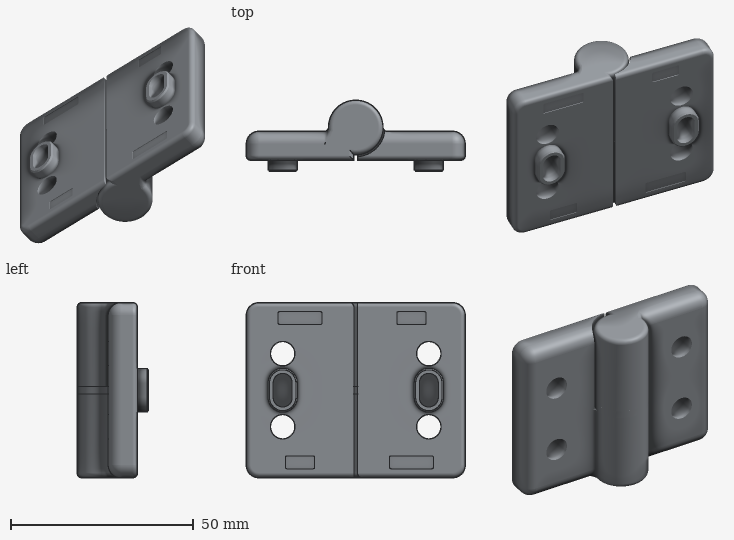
import cadquery as cq
import math


hinge_length = 60.0
hinge_height = 48.0
half_length = hinge_length / 2
half_height = hinge_height / 2

plate_thickness = 8.0
mount_face_y = -9.0
plate_top_y = mount_face_y + plate_thickness
leaf_gap = 1.0
inner_edge_x = -leaf_gap / 2
plate_length = half_length - leaf_gap / 2
plate_middle_x = inner_edge_x - plate_length / 2
corner_radius = 3.5
top_fillet = 3.5

knuckle_diameter = 15.0
knuckle_radius = knuckle_diameter / 2
knuckle_end_diameter = 12.4
rim_fillet = (knuckle_diameter - knuckle_end_diameter) / 2
root_fillet = 1.0
clearance_radius = 8.0
washer_thickness = 2.1
washer_top_z = washer_thickness / 2
knuckle_height = half_height - washer_top_z

mount_x = -20.0
hole_diameter = 6.6
hole_spacing = 20.0
boss_width = 8.0
boss_length = 12.0
boss_height = 3.0
boss_chamfer = 0.4
boss_end_y = mount_face_y - boss_height
slot_width = 5.2
slot_length = boss_length - boss_width + slot_width
slot_depth = 9.0

marking_z = 19.75
marking_height = 3.5
upper_marking_width = 12.0
lower_marking_width = 8.0
marking_corner = 0.4
marking_depth = 0.2


def work_face(y):
    """Workplane at depth y with local axes X and Z, extruding toward -Y."""
    return cq.Workplane("XZ", origin=(0, y, 0))


def make_plate():
    """Leaf plate with rounded outer corners and a rounded top edge."""
    plate = (
        work_face(plate_top_y)
        .center(plate_middle_x, 0)
        .rect(plate_length, hinge_height)
        .extrude(plate_thickness)
        .edges("|Y and <X")
        .fillet(corner_radius)
    )
    return plate.faces(">Y").edges("not >X").fillet(top_fillet)


def make_knuckle():
    """Upper-half knuckle with a foot whose flank runs straight down to the plate."""
    base = cq.Workplane("XY", origin=(0, 0, washer_top_z))
    barrel = base.circle(knuckle_radius).extrude(knuckle_height)
    foot = (
        base.moveTo(-knuckle_radius, mount_face_y)
        .lineTo(inner_edge_x, mount_face_y)
        .lineTo(inner_edge_x, 0)
        .lineTo(-knuckle_radius, 0)
        .close()
        .extrude(knuckle_height)
    )
    return barrel.union(foot)


def root_section(z):
    """Concave corner section between plate and knuckle, reaching into both."""
    round_center_y = plate_top_y - top_fillet
    toe_x = -knuckle_radius - root_fillet
    crest_y = plate_top_y + root_fillet
    arc_reach = root_fillet * math.sqrt(0.5)
    inside_x = -knuckle_radius + root_fillet
    return (
        cq.Workplane("XY", origin=(0, round_center_y, z))
        .moveTo(toe_x, plate_top_y - round_center_y)
        .threePointArc(
            (toe_x + arc_reach, crest_y - arc_reach - round_center_y),
            (-knuckle_radius, crest_y - round_center_y),
        )
        .lineTo(inside_x, crest_y - round_center_y)
        .lineTo(inside_x, 0)
        .lineTo(toe_x, 0)
        .close()
    )


def make_root_web():
    """Concave fillet beside the knuckle, bending over the rounded top of the plate."""
    bend_z = half_height - top_fillet
    straight = root_section(washer_top_z).extrude(bend_z - washer_top_z)
    bend = root_section(bend_z).revolve(90, (0, 0, 0), (1, 0, 0))
    leaf_height = cq.Workplane("XY").box(hinge_length, hinge_length, hinge_height)
    return straight.union(bend).intersect(leaf_height)


def round_rims(body):
    """Round the bottom edge of the plate and the rim of the knuckle end."""
    above_plate = cq.selectors.BoxSelector(
        (-knuckle_radius - root_fillet, plate_top_y - top_fillet, washer_top_z),
        (knuckle_radius, knuckle_radius, hinge_height),
        boundingbox=False,
    )
    end_face = body.faces(">Z")
    knuckle_rim = end_face.edges(above_plate)
    inner_rim = end_face.edges("|Y").edges(">X")
    bottom_rim = body.faces("<Y").edges("not >X")
    return bottom_rim.add(knuckle_rim).add(inner_rim).fillet(rim_fillet)


def make_clearance():
    """Space for the washer and for the knuckle of the opposite leaf."""
    return (
        cq.Workplane("XY", origin=(0, 0, -half_height))
        .circle(clearance_radius)
        .extrude(half_height + washer_top_z)
    )


def make_boss():
    """Oblong locating boss on the mounting face."""
    return (
        work_face(mount_face_y)
        .center(mount_x, 0)
        .slot2D(boss_length, boss_width, 90)
        .extrude(boss_height)
        .faces("<Y")
        .chamfer(boss_chamfer)
    )


def make_slot():
    """Blind oblong recess through the boss into the plate."""
    return (
        work_face(boss_end_y + slot_depth)
        .center(mount_x, 0)
        .slot2D(slot_length, slot_width, 90)
        .extrude(slot_depth)
    )


def make_screw_holes():
    """Two through holes, above and below the boss."""
    return (
        work_face(plate_top_y)
        .center(mount_x, 0)
        .rarray(1, hole_spacing, 1, 2)
        .circle(hole_diameter / 2)
        .extrude(plate_thickness)
    )


def make_marking(z, width):
    """Shallow rounded rectangle sunk into the mounting face."""
    return (
        work_face(mount_face_y + marking_depth)
        .center(plate_middle_x, z)
        .rect(width, marking_height)
        .extrude(marking_depth)
        .edges("|Y")
        .fillet(marking_corner)
    )


def make_leaf():
    """Left leaf: plate with its knuckle at the upper end of the hinge."""
    blank = make_plate().union(make_knuckle()).union(make_root_web())
    return (
        round_rims(blank)
        .cut(make_clearance())
        .union(make_boss())
        .cut(make_slot())
        .cut(make_screw_holes())
        .cut(make_marking(marking_z, upper_marking_width))
        .cut(make_marking(-marking_z, lower_marking_width))
    )


def make_washer():
    """Disc between the two knuckles."""
    return (
        cq.Workplane("XY", origin=(0, 0, -washer_top_z))
        .circle(knuckle_radius)
        .extrude(washer_thickness)
    )


left_leaf = make_leaf()
right_leaf = left_leaf.rotate((0, 0, 0), (0, 1, 0), 180)
washer = make_washer()

result = cq.Compound.makeCompound([left_leaf.val(), right_leaf.val(), washer.val()])